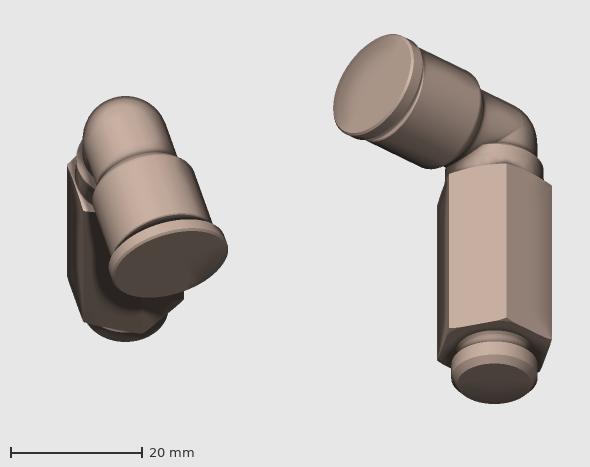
import cadquery as cq
import math

overall_height = 51.95
axis_height = 43.8
tube_radius = 6.55

across_flats = 16.0
hex_radius = across_flats / 2 / math.cos(math.pi / 6)
hex_bottom = 5.9
hex_top = 34.75
hex_top_radius = 7.9
hex_bottom_radius = 8.55
hex_chamfer_slope = math.tan(math.radians(20))

plug_radius = 6.6
plug_neck_radius = 5.6
plug_chamfer_height = 1.05
plug_tip_radius = 5.65
plug_shoulder = 3.45
plug_neck_bottom = 3.95
plug_neck_top = 5.45
plug_root_radius = 5.85

collar_base_radius = 7.75
collar_radius = 7.55
collar_taper_top = 37.3
collar_shoulder = 38.8
collar_top = 39.85

body_radius = overall_height - axis_height
body_flare_start = 7.65
body_flare_angle = math.radians(40)
body_flare_round = 1.0
body_end = 21.75
body_end_chamfer = 0.15

button_neck_radius = 5.8
button_start = 22.9
button_end = 25.0
button_half_width = 9.25
button_half_height = 8.1
button_chamfer = 0.3


def turned_on_stem(profile):
    """Revolve a closed (radius, height) profile about the Z axis."""
    return profile.close().revolve(360, (0, 0, 0), (0, 1, 0))


def make_plug():
    profile = (
        cq.Workplane("XZ")
        .lineTo(plug_tip_radius, 0)
        .lineTo(plug_radius, plug_chamfer_height)
        .lineTo(plug_radius, plug_shoulder)
        .lineTo(plug_neck_radius, plug_neck_bottom)
        .lineTo(plug_neck_radius, plug_neck_top)
        .lineTo(plug_root_radius, hex_bottom)
        .lineTo(0, hex_bottom)
    )
    return turned_on_stem(profile)


def make_nut():
    prism = (
        cq.Workplane("XY", origin=(0, 0, hex_bottom))
        .polygon(6, 2 * hex_radius)
        .extrude(hex_top - hex_bottom)
    )
    lower_drop = (hex_radius - hex_bottom_radius) * hex_chamfer_slope
    upper_drop = (hex_radius - hex_top_radius) * hex_chamfer_slope
    blank = (
        cq.Workplane("XZ")
        .moveTo(0, hex_bottom)
        .lineTo(hex_bottom_radius, hex_bottom)
        .lineTo(hex_radius, hex_bottom + lower_drop)
        .lineTo(hex_radius, hex_top - upper_drop)
        .lineTo(hex_top_radius, hex_top)
        .lineTo(0, hex_top)
    )
    return prism.intersect(turned_on_stem(blank))


def make_collar():
    profile = (
        cq.Workplane("XZ")
        .moveTo(0, hex_top)
        .lineTo(collar_base_radius, hex_top)
        .lineTo(collar_radius, collar_taper_top)
        .lineTo(collar_radius, collar_shoulder)
        .lineTo(tube_radius, collar_top)
        .lineTo(0, collar_top)
    )
    return turned_on_stem(profile)


def make_elbow():
    riser = (
        cq.Workplane("XY", origin=(0, 0, hex_top))
        .circle(tube_radius)
        .extrude(axis_height - hex_top)
    )
    beyond_mitre = (
        cq.Workplane("XZ", origin=(0, tube_radius, axis_height))
        .polyline([(0, 0), (tube_radius, 0), (tube_radius, -tube_radius)])
        .close()
        .extrude(2 * tube_radius)
    )
    corner = cq.Workplane("XY", origin=(0, 0, axis_height)).sphere(tube_radius)
    outlet = (
        cq.Workplane("YZ", origin=(0, 0, axis_height))
        .circle(tube_radius)
        .extrude(body_flare_start)
    )
    return riser.cut(beyond_mitre).union(corner).union(outlet)


def make_outlet_body():
    arc_length = body_flare_round * math.sin(body_flare_angle)
    arc_rise = body_flare_round * (1 - math.cos(body_flare_angle))
    cone_rise = body_radius - tube_radius - 2 * arc_rise
    cone_start = body_flare_start + arc_length
    cone_end = cone_start + cone_rise / math.tan(body_flare_angle)
    half_angle = body_flare_angle / 2
    mid_length = body_flare_round * math.sin(half_angle)
    mid_rise = body_flare_round * (1 - math.cos(half_angle))
    flare_end = cone_end + arc_length
    return (
        cq.Workplane("XZ", origin=(0, 0, axis_height))
        .moveTo(body_flare_start, 0)
        .lineTo(body_flare_start, tube_radius)
        .threePointArc(
            (body_flare_start + mid_length, tube_radius + mid_rise),
            (cone_start, tube_radius + arc_rise),
        )
        .lineTo(cone_end, body_radius - arc_rise)
        .threePointArc(
            (flare_end - mid_length, body_radius - mid_rise),
            (flare_end, body_radius),
        )
        .lineTo(body_end - body_end_chamfer, body_radius)
        .lineTo(body_end, body_radius - body_end_chamfer)
        .lineTo(body_end, button_neck_radius)
        .lineTo(button_start, button_neck_radius)
        .lineTo(button_start, 0)
        .close()
        .revolve(360, (0, 0, 0), (1, 0, 0))
    )


def make_button():
    return (
        cq.Workplane("YZ", origin=(button_start, 0, axis_height))
        .ellipse(button_half_width, button_half_height)
        .extrude(button_end - button_start)
        .faces(">X")
        .chamfer(button_chamfer)
    )


result = (
    make_plug()
    .union(make_nut())
    .union(make_collar())
    .union(make_elbow())
    .union(make_outlet_body())
    .union(make_button())
)